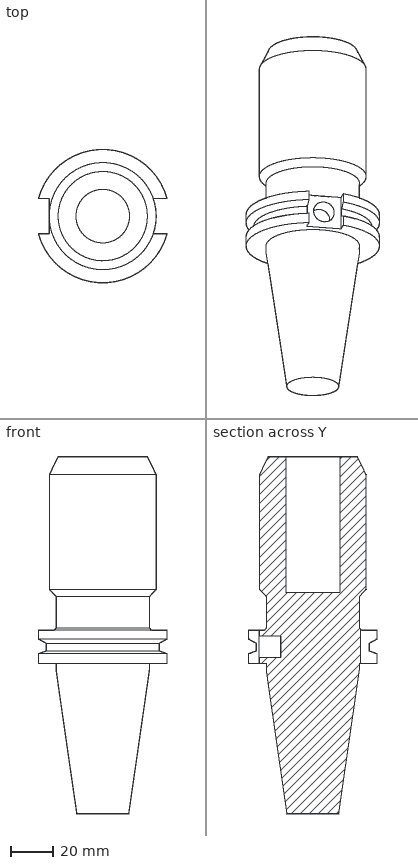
import cadquery as cq

taper_end_radius = 12.4
gauge_radius = 22.3
gauge_z = 68.3

flange_radius = 31.8
flange_bottom_z = 71.3
flange_top_z = 87.3
groove_radius = 28.2
groove_outer_bottom_z = 76.1
groove_inner_bottom_z = 77.5
groove_inner_top_z = 81.0
groove_outer_top_z = 83.0

neck_radius = 22.3
flare_size = 1.0
neck_top_z = 103.3

body_radius = 25.5
body_bottom_z = 106.7
body_chamfer_z = 161.2
top_radius = 21.2
total_height = 169.8
bore_diameter = 25.5
bore_depth = 64.5

slot_width = 16.6
left_floor_x = 25.5
right_floor_x = 22.8
slot_hole_diameter = 10.0
slot_hole_depth = 10.2
flange_height = flange_top_z - flange_bottom_z
flange_middle_z = (flange_top_z + flange_bottom_z) / 2


def turned_body():
    """Revolve the half profile (radius, z) about the Z axis."""
    profile = [
        (0, 0),
        (taper_end_radius, 0),
        (gauge_radius, gauge_z),
        (gauge_radius, flange_bottom_z),
        (flange_radius, flange_bottom_z),
        (flange_radius, groove_outer_bottom_z),
        (groove_radius, groove_inner_bottom_z),
        (groove_radius, groove_inner_top_z),
        (flange_radius, groove_outer_top_z),
        (flange_radius, flange_top_z),
        (neck_radius + flare_size, flange_top_z),
        (neck_radius, flange_top_z + flare_size),
        (neck_radius, neck_top_z),
        (body_radius, body_bottom_z),
        (body_radius, body_chamfer_z),
        (top_radius, total_height),
        (0, total_height),
    ]
    return cq.Workplane("XZ").polyline(profile).close().revolve(360, (0, 0), (0, 1))


def drive_slot(side, floor_x):
    """Block that cuts the flange outward from floor_x; side is -1 or +1 along X."""
    length = flange_radius
    return cq.Workplane("XY").box(length, slot_width, flange_height).translate(
        (side * (floor_x + length / 2), 0, flange_middle_z)
    )


def slot_hole():
    """Blind radial hole running inward from the floor of the -X slot."""
    return (
        cq.Workplane("YZ", origin=(-left_floor_x, 0, flange_middle_z))
        .circle(slot_hole_diameter / 2)
        .extrude(slot_hole_depth)
    )


def tool_bore():
    """Blind bore sunk from the top face."""
    return (
        cq.Workplane("XY", origin=(0, 0, total_height))
        .circle(bore_diameter / 2)
        .extrude(-bore_depth)
    )


result = (
    turned_body()
    .cut(drive_slot(-1, left_floor_x))
    .cut(drive_slot(1, right_floor_x))
    .cut(slot_hole())
    .cut(tool_bore())
)